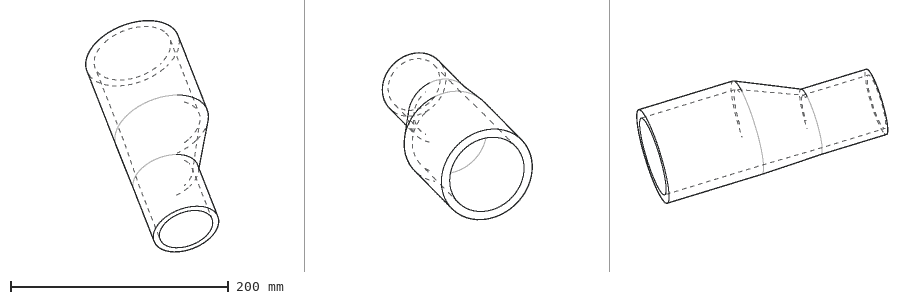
import cadquery as cq

total_length = 213.0
large_length = 92.0
small_length = 64.0
cone_length = total_length - large_length - small_length

large_outer_diameter = 90.0
large_bore_diameter = 73.7
small_outer_diameter = 63.0
small_bore_diameter = 51.3

small_axis_y = -(large_outer_diameter - small_outer_diameter) / 2


def reducer_body(large_diameter, small_diameter):
    """Solid large cylinder, slanted cone and small cylinder in a row along X."""
    large_end = cq.Workplane("YZ").circle(large_diameter / 2).extrude(large_length)
    cone = (
        cq.Workplane("YZ", origin=(large_length, 0, 0))
        .circle(large_diameter / 2)
        .workplane(offset=cone_length)
        .center(small_axis_y, 0)
        .circle(small_diameter / 2)
        .loft(ruled=True)
    )
    small_end = (
        cq.Workplane("YZ", origin=(large_length + cone_length, small_axis_y, 0))
        .circle(small_diameter / 2)
        .extrude(small_length)
    )
    return large_end.union(cone).union(small_end)


outside = reducer_body(large_outer_diameter, small_outer_diameter)
bore = reducer_body(large_bore_diameter, small_bore_diameter)
result = outside.cut(bore)